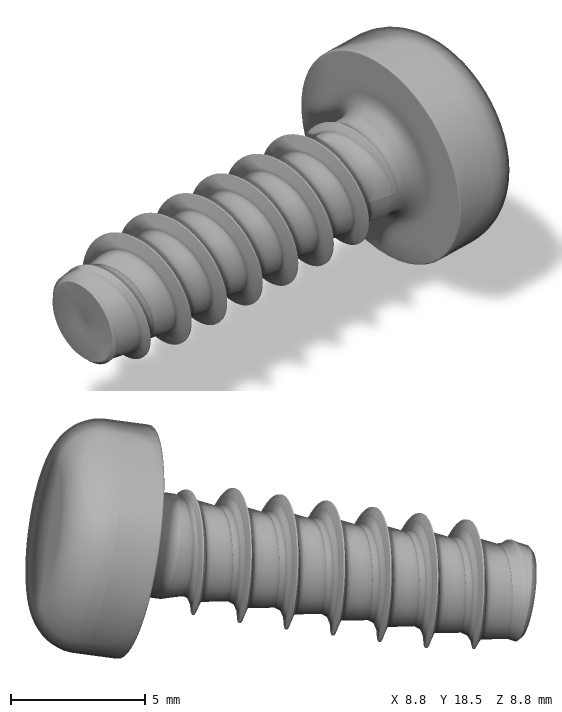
import cadquery as cq
import math

total_length = 18.49
head_height = 3.45
head_radius = 4.4
head_crown_radius = 1.74
head_rim_radius = 0.07
tip_y = head_height - total_length

head_overlap = 0.18
neck_radius = 1.98
neck_fillet = 0.7
neck_length = 1.25
neck_taper_length = 1.05
core_radius = 1.72
tip_chamfer = 0.07
tip_dimple_depth = 0.18
blank_end_y = tip_y - 2 * head_radius

pitch = 1.8
first_crest_y = -1.07
start_turn = 0.0
end_turn = 8.0
lead_in_end = 1.0
lead_in_start_share = 0.3
run_out_start = 6.5
run_out_end = 7.5
crest_radius = 2.48
crest_half_width = 0.028
ridge_radius = 1.89
flank_radius = 2.1
buried_radius = 1.57
root_radius = core_radius + 0.02

thread_section = [
    (0.54, buried_radius, buried_radius),
    (0.54, root_radius, root_radius),
    (0.31, 1.78, 1.81),
    (0.13, 1.81, flank_radius),
    (crest_half_width, 1.85, crest_radius),
    (-crest_half_width, 1.85, crest_radius),
    (-0.15, 1.87, flank_radius),
    (-0.22, ridge_radius, ridge_radius),
    (-1.22, root_radius, root_radius),
    (-1.22, buried_radius, buried_radius),
]
segment_turns = 0.5
path_steps = 8


def make_head():
    """Pan head with a rounded crown and a slightly eased rim."""
    head = cq.Workplane("XZ").circle(head_radius).extrude(-head_height)
    head = head.faces(">Y").edges().fillet(head_crown_radius)
    return head.faces("<Y").edges().fillet(head_rim_radius)


def make_shank():
    """Neck with a fillet under the head, taper, and a core left longer than the finished tip."""
    arc_offset = neck_fillet * (1 - math.sqrt(0.5))
    return (
        cq.Workplane("XY")
        .moveTo(0, head_overlap)
        .lineTo(neck_radius + neck_fillet, head_overlap)
        .lineTo(neck_radius + neck_fillet, 0)
        .threePointArc((neck_radius + arc_offset, -arc_offset), (neck_radius, -neck_fillet))
        .lineTo(neck_radius, -neck_length)
        .lineTo(core_radius, -neck_length - neck_taper_length)
        .lineTo(core_radius, blank_end_y)
        .lineTo(0, blank_end_y)
        .close()
        .revolve(360, (0, 0, 0), (0, 1, 0))
    )


def crest_share(turn):
    """Share of the full thread height present at a given turn."""
    lead_in = (turn - start_turn) / (lead_in_end - start_turn)
    lead_in = lead_in_start_share + (1 - lead_in_start_share) * lead_in
    run_out = (run_out_end - turn) / (run_out_end - run_out_start)
    return max(0, min(1, lead_in, run_out))


def thread_point(section_point, turn):
    offset, faded_radius, full_radius = section_point
    radius = faded_radius + (full_radius - faded_radius) * crest_share(turn)
    angle = 2 * math.pi * turn
    y = first_crest_y - pitch * turn + offset
    return cq.Vector(radius * math.cos(angle), y, radius * math.sin(angle))


def make_thread_segment(first_turn, last_turn):
    """Solid bounded by ruled faces between helical edges, closed by two flat ends."""
    step = (last_turn - first_turn) / path_steps
    turns = [first_turn + i * step for i in range(path_steps + 1)]
    edges = [
        cq.Edge.makeSpline([thread_point(point, turn) for turn in turns])
        for point in thread_section
    ]
    next_edges = edges[1:] + edges[:1]
    faces = [cq.Face.makeRuledSurface(a, b) for a, b in zip(edges, next_edges)]
    for turn in (first_turn, last_turn):
        corners = [thread_point(point, turn) for point in thread_section]
        faces.append(cq.Face.makeFromWires(cq.Wire.makePolygon(corners, close=True)))
    return cq.Solid.makeSolid(cq.Shell.makeShell(faces)).fix()


def add_thread(body):
    """Fuse the thread onto the body, one segment after another."""
    segment_count = round((end_turn - start_turn) / segment_turns)
    for i in range(segment_count):
        first_turn = start_turn + i * segment_turns
        body = body.union(cq.Workplane(make_thread_segment(first_turn, first_turn + segment_turns)))
    return body


def make_tip_cutter():
    """Cutter that leaves a tip with a chamfer outside and a shallow cone inside."""
    tip_radius = core_radius - tip_chamfer
    chamfer_reach = 0.55
    cutter_radius = tip_radius + chamfer_reach
    cutter_end_y = 2 * blank_end_y
    return (
        cq.Workplane("XY")
        .moveTo(0, tip_y + tip_dimple_depth)
        .lineTo(tip_radius, tip_y)
        .lineTo(cutter_radius, tip_y + chamfer_reach)
        .lineTo(cutter_radius, cutter_end_y)
        .lineTo(0, cutter_end_y)
        .close()
        .revolve(360, (0, 0, 0), (0, 1, 0))
    )


blank = make_head().union(make_shank())
result = add_thread(blank).cut(make_tip_cutter())